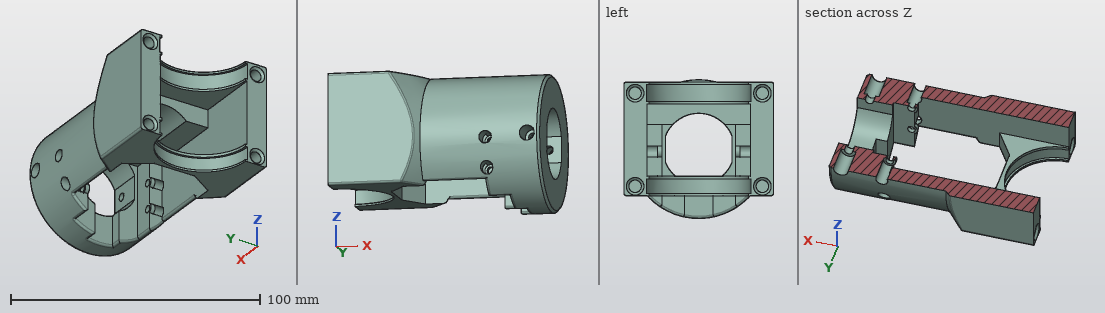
import cadquery as cq
import math

length = 86.25
barrel_radius = 27.9
head_half_width = 30.0
head_top = 26.9
head_bottom = -18.7
edge_radius = 0.95
rim_chamfer = 1.0

barrel_start = 37.3
cone_tip = barrel_start + barrel_radius

pocket_half_width = 20.7
pocket_top = 18.1
pocket_floor = -10.8
pocket_end = 28.9
seat_radius = 20.0
groove_radius = 21.0
top_groove = (19.1, 26.0)
bottom_groove = (-17.85, -12.0)
floor_edge = 21.6
floor_edge_half_width = 9.7

channel_ceiling = 9.9
wide_step = (pocket_half_width, 62.8)
middle_step = (14.7, 71.4)
narrow_step = (5.7, 76.2)

bore_radius = 14.3
bore_half_width = 13.3

fork_hole_diameter = 5.0
fork_sink_diameter = 7.1
fork_hole_depth = 14.7
fork_hole_y = 25.5
fork_hole_heights = (22.4, -14.9)

pin_x = 64.0
pin_heights = (-1.0, -12.9)
pin_diameter = 3.1
pin_head_diameter = 5.0
rear_hole_x = 81.2
rear_hole_diameter = 3.4
rear_head_diameter = 6.0
head_seat_y = 16.6

clearance = 0.9
tolerance = 0.01


def block(x_range, y_range, z_range):
    """Box between two positions on each axis."""
    sizes = [high - low for low, high in (x_range, y_range, z_range)]
    corner = (x_range[0], y_range[0], z_range[0])
    return cq.Workplane("XY").box(*sizes, centered=False).translate(corner)


def x_cylinder(radius, start, end):
    return cq.Workplane("YZ", origin=(start, 0, 0)).circle(radius).extrude(end - start)


def y_cylinder(diameter, x, z, start, end):
    plane = cq.Plane(origin=(x, start, z), xDir=(1, 0, 0), normal=(0, 1, 0))
    return cq.Workplane(plane).circle(diameter / 2).extrude(end - start)


def z_cylinder(radius, bottom, top):
    return cq.Workplane("XY", origin=(0, 0, bottom)).circle(radius).extrude(top - bottom)


def channel_step(step, start, ceiling):
    half_width, end = step
    return block((start, end), (-half_width, half_width), (-barrel_radius - clearance, ceiling))


def make_head():
    """Rectangular head trimmed by the cone, with rounded outer edges."""
    head = block((0, cone_tip), (-head_half_width, head_half_width), (head_bottom, head_top))
    cone = (
        cq.Workplane("XY")
        .polyline([(0, 0), (0, cone_tip), (cone_tip, 0)])
        .close()
        .revolve(360, (0, 0, 0), (1, 0, 0))
    )
    return head.intersect(cone).faces("not <X").edges("not <X").fillet(edge_radius)


def make_barrel():
    """Barrel with the stepped channel opened from below and its outer rims rounded."""
    barrel = x_cylinder(barrel_radius, barrel_start, length).faces(">X").chamfer(rim_chamfer)
    barrel = barrel.cut(channel_step(wide_step, barrel_start, channel_ceiling))
    barrel = barrel.cut(channel_step(middle_step, barrel_start, channel_ceiling))
    barrel = barrel.cut(channel_step(narrow_step, barrel_start, 0))

    def on_channel_rim(edge):
        middle = edge.positionAt(0.5)
        on_surface = abs(math.hypot(middle.y, middle.z) - barrel_radius) < tolerance
        between_ends = barrel_start + tolerance < middle.x < length - rim_chamfer - tolerance
        return on_surface and between_ends and middle.z < 0

    rims = [edge for edge in barrel.edges().vals() if on_channel_rim(edge)]
    barrel = barrel.newObject(rims).fillet(edge_radius)

    bevel_height = barrel_radius - head_top + clearance
    bevel = (
        cq.Workplane("XZ", origin=(0, barrel_radius, 0))
        .polyline(
            [
                (barrel_start, head_top),
                (barrel_start + bevel_height, head_top + bevel_height),
                (barrel_start, head_top + bevel_height),
            ]
        )
        .close()
        .extrude(2 * barrel_radius)
    )
    return barrel.cut(bevel)


def make_pocket():
    """Space between the fork plates, opened downward behind the lower plate."""
    y_range = (-pocket_half_width, pocket_half_width)
    pocket = block((0, pocket_end), y_range, (pocket_floor, pocket_top))
    channel = channel_step(wide_step, pocket_end, channel_ceiling)
    floor_opening = (
        cq.Workplane("XY", origin=(0, 0, head_bottom))
        .polyline(
            [
                (floor_edge, -floor_edge_half_width),
                (pocket_end, -pocket_half_width),
                (pocket_end, pocket_half_width),
                (floor_edge, floor_edge_half_width),
            ]
        )
        .close()
        .extrude(pocket_floor - head_bottom)
    )
    return pocket.union(channel).union(floor_opening)


def make_seats():
    """Round seats through both plates, each with an inner groove."""
    seats = z_cylinder(seat_radius, head_bottom, head_top)
    for bottom, top in (top_groove, bottom_groove):
        seats = seats.union(z_cylinder(groove_radius, bottom, top))
    return seats


def make_bore():
    """Round bore with two side flats, from the pocket to the rear end."""
    y_range = (-bore_half_width, bore_half_width)
    z_range = (-bore_radius, bore_radius)
    flats = block((pocket_end, length), y_range, z_range)
    return x_cylinder(bore_radius, pocket_end, length).intersect(flats)


def make_fork_holes():
    """Countersunk blind holes in the four corners of the front face."""
    radius = fork_hole_diameter / 2
    sink_radius = fork_sink_diameter / 2
    sink_depth = sink_radius - radius
    profile = [
        (0, 0),
        (0, sink_radius),
        (sink_depth, radius),
        (fork_hole_depth, radius),
        (fork_hole_depth, 0),
    ]
    hole = cq.Workplane("XY").polyline(profile).close().revolve(360, (0, 0, 0), (1, 0, 0))
    holes = cq.Workplane("XY")
    for y in (-fork_hole_y, fork_hole_y):
        for z in fork_hole_heights:
            holes = holes.add(hole.translate((0, y, z)))
    return holes.combine()


def cross_hole(diameter, head_diameter, x, z):
    """Hole right through along Y, counterbored from both sides."""
    hole = y_cylinder(diameter, x, z, -head_half_width, head_half_width)
    for start, end in ((-head_half_width, -head_seat_y), (head_seat_y, head_half_width)):
        hole = hole.union(y_cylinder(head_diameter, x, z, start, end))
    return hole


def pin_bosses(z):
    """Round lugs that carry the head seats where they overhang the channel."""
    inner = middle_step[0]
    lug = y_cylinder(pin_head_diameter, pin_x, z, inner, head_seat_y)
    return lug.union(lug.mirror("XZ"))


result = make_head().union(make_barrel())
result = result.cut(make_pocket()).cut(make_seats()).cut(make_bore()).cut(make_fork_holes())
for height in pin_heights:
    result = result.union(pin_bosses(height))
    result = result.cut(cross_hole(pin_diameter, pin_head_diameter, pin_x, height))
result = result.cut(cross_hole(rear_hole_diameter, rear_head_diameter, rear_hole_x, 0))